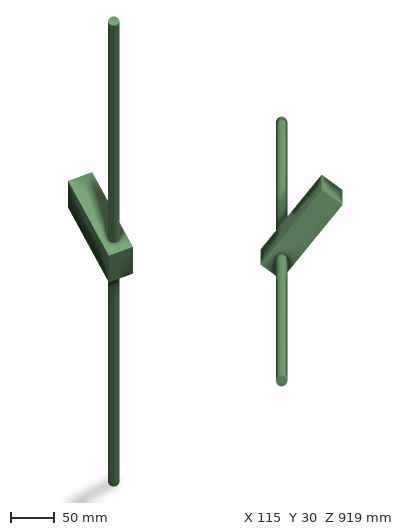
import cadquery as cq

TOTAL_HEIGHT = 919.0
BLOCK_LENGTH = 115.0
BLOCK_DEPTH = 30.0
BLOCK_HEIGHT = 53.0
ROD_DIAMETER = 13.0
ROD_EDGE_OFFSET = 20.0

ROD_X = BLOCK_LENGTH / 2 - ROD_EDGE_OFFSET
ROD_LENGTH = (TOTAL_HEIGHT - BLOCK_HEIGHT) / 2


def make_block():
    """Plain rectangular block centred on the origin."""
    return cq.Workplane("XY").box(BLOCK_LENGTH, BLOCK_DEPTH, BLOCK_HEIGHT)


def make_rod(base_z):
    """Upright round rod with its lower end at base_z."""
    return (
        cq.Workplane("XY")
        .circle(ROD_DIAMETER / 2)
        .extrude(ROD_LENGTH)
        .translate((ROD_X, 0, base_z))
    )


block = make_block()

rods = []
for base_z in (BLOCK_HEIGHT / 2, -TOTAL_HEIGHT / 2):
    rods.append(make_rod(base_z).val())

result = cq.Compound.makeCompound([block.val(), *rods])